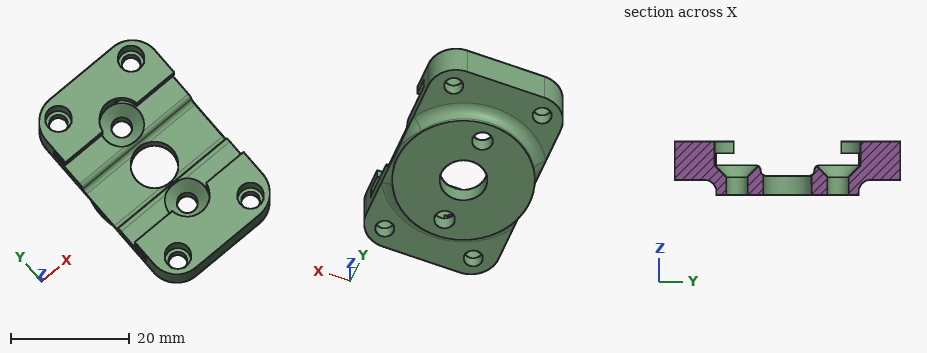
import cadquery as cq
import math

length = 38.0
width = 24.0
height = 9.0
corner_radius = 5.0
boss_height = 2.5
boss_radius = width / 2
boss_fillet = 2.0
boss_overlap = 0.008
flare_radius = boss_radius + boss_fillet - boss_overlap
flare_core_radius = boss_radius - boss_fillet
flare_start_angle = math.radians(1)
flare_steps = 8

slot_floor = 5.0
lip_underside = 7.0
slot_width = width
slot_opening = 18.0

groove_floor = 3.23
groove_width = 9.0
groove_round = (slot_floor - groove_floor) / 2

center_hole_diameter = 8.0
screw_spacing = 17.02
screw_hole_diameter = 3.5
screw_head_diameter = 7.52
countersink_angle = 90
corner_hole_spacing_x = 16.05
corner_hole_spacing_y = 31.0
corner_hole_diameter = 3.2
corner_bore_diameter = 4.5
corner_bore_depth = height - slot_floor


def flare_section(angle):
    """Blend outline in the radial plane at an angle: an arc rising from the boss wall to the rim."""
    rim = min(flare_radius, boss_radius / math.cos(angle))
    overhang = flare_radius - rim
    arc_center = boss_height - math.sqrt(boss_fillet**2 - overhang**2)
    rim_angle = math.acos(overhang / boss_fillet)
    middle = (
        flare_radius - boss_fillet * math.cos(rim_angle / 2),
        arc_center + boss_fillet * math.sin(rim_angle / 2),
    )
    return (
        cq.Workplane("XZ")
        .moveTo(flare_core_radius, arc_center)
        .lineTo(flare_radius - boss_fillet, arc_center)
        .threePointArc(middle, (rim, boss_height))
        .lineTo(flare_core_radius, boss_height)
        .close()
        .val()
        .rotate(cq.Vector(0, 0, 0), cq.Vector(0, 0, 1), math.degrees(angle))
    )


def make_flare():
    """Half of the concave blend under the plate, on the +Y side; it fades out towards the plate sides."""
    full_angle = math.acos(boss_radius / flare_radius)
    step = (full_angle - flare_start_angle) / flare_steps
    sections = [flare_section(flare_start_angle + step * i) for i in range(flare_steps + 1)]
    wing = cq.Workplane(cq.Solid.makeLoft(sections))
    middle_sweep = 180 - 2 * math.degrees(full_angle)
    middle = cq.Workplane(
        cq.Solid.revolve(
            flare_section(full_angle), [], middle_sweep, cq.Vector(0, 0, 0), cq.Vector(0, 0, 1)
        )
    )
    return middle.union(wing).union(wing.mirror("YZ"))


def make_body():
    """Rounded plate carried on a round boss as wide as the plate."""
    plate = (
        cq.Workplane("XY", origin=(0, 0, boss_height))
        .rect(width, length)
        .extrude(height - boss_height)
        .edges("|Z")
        .fillet(corner_radius)
    )
    boss = cq.Workplane("XY").circle(boss_radius).extrude(boss_height)
    flare = make_flare()
    return plate.union(boss).union(flare).union(flare.mirror("XZ"))


def channel(channel_width, bottom, top):
    """Rectangular cutter running the full width of the plate."""
    return cq.Workplane("XY", origin=(0, 0, bottom)).rect(width, channel_width).extrude(top - bottom)


def make_groove():
    """Groove cutter with concave floor corners and convex rims, joined in S-curves."""
    half = groove_width / 2
    middle = groove_floor + groove_round
    floor_half = half - groove_round
    rim_half = half + groove_round
    diagonal = groove_round * 0.5**0.5
    return (
        cq.Workplane("YZ", origin=(-width / 2, 0, 0))
        .moveTo(-floor_half, groove_floor)
        .lineTo(floor_half, groove_floor)
        .threePointArc((floor_half + diagonal, middle - diagonal), (half, middle))
        .threePointArc((rim_half - diagonal, middle + diagonal), (rim_half, slot_floor))
        .lineTo(-rim_half, slot_floor)
        .threePointArc((-rim_half + diagonal, middle + diagonal), (-half, middle))
        .threePointArc((-floor_half - diagonal, middle - diagonal), (-floor_half, groove_floor))
        .close()
        .extrude(width)
    )


def cut_screw_holes(body):
    """Countersunk holes, with the head clearance open up to the top face."""
    centers = [(0, -screw_spacing / 2), (0, screw_spacing / 2)]
    clearance = (
        cq.Workplane("XY", origin=(0, 0, slot_floor))
        .pushPoints(centers)
        .circle(screw_head_diameter / 2)
        .extrude(height - slot_floor)
    )
    return (
        body.cut(clearance)
        .copyWorkplane(cq.Workplane("XY", origin=(0, 0, slot_floor)))
        .pushPoints(centers)
        .cskHole(screw_hole_diameter, screw_head_diameter, countersink_angle)
    )


def cut_corner_holes(body):
    """Counterbored holes in the four plate corners."""
    return (
        body.copyWorkplane(cq.Workplane("XY", origin=(0, 0, height)))
        .rect(corner_hole_spacing_x, corner_hole_spacing_y, forConstruction=True)
        .vertices()
        .cboreHole(corner_hole_diameter, corner_bore_diameter, corner_bore_depth)
    )


result = make_body()
result = result.cut(channel(slot_width, slot_floor, lip_underside))
result = result.cut(channel(slot_opening, lip_underside, height))
result = result.cut(make_groove())
result = result.copyWorkplane(cq.Workplane("XY", origin=(0, 0, height))).hole(center_hole_diameter)
result = cut_screw_holes(result)
result = cut_corner_holes(result)